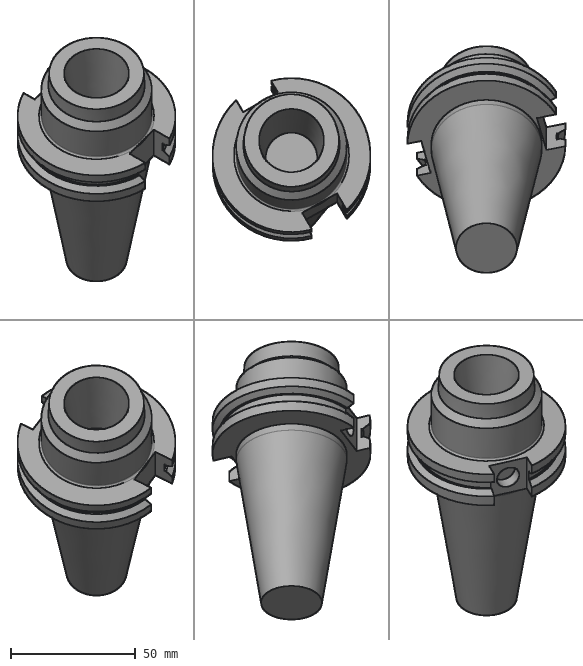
import cadquery as cq
import math

TOTAL_HEIGHT = 113.2
TAPER_HEIGHT = 68.5
FLANGE_BOTTOM = 71.5
FLANGE_TOP = 87.3
BODY_TOP = 103.3
NOSE_BOTTOM = 106.0

TAPER_END_RADIUS = 12.2
SHANK_RADIUS = 22.2
FLANGE_DIAMETER = 63.4
FLANGE_RADIUS = FLANGE_DIAMETER / 2
BODY_FILLET = 0.9
NOSE_BOTTOM_RADIUS = 19.4
NOSE_TOP_RADIUS = 19.0

GROOVE_RADIUS = 28.2
GROOVE_LEDGE = 0.8
GROOVE_CENTER = 79.6
GROOVE_FLOOR_WIDTH = 3.9
GROOVE_MOUTH_WIDTH = 7.1

BORE_TOP_RADIUS = 13.0
BORE_BOTTOM_RADIUS = 10.3
BORE_DEPTH = 30.6

SLOT_WIDTH = 16.1
LEFT_SLOT_FLOOR = 25.0
RIGHT_SLOT_FLOOR = 22.8

SIDE_HOLE_RADIUS = 4.8
SIDE_HOLE_DEPTH = 5.0


def turned_body():
    floor_half = GROOVE_FLOOR_WIDTH / 2
    mouth_half = GROOVE_MOUTH_WIDTH / 2
    ledge_radius = GROOVE_RADIUS + GROOVE_LEDGE
    fillet_center = (SHANK_RADIUS + BODY_FILLET, FLANGE_TOP + BODY_FILLET)
    fillet_reach = BODY_FILLET * math.sqrt(0.5)
    fillet_middle = (fillet_center[0] - fillet_reach, fillet_center[1] - fillet_reach)
    below_fillet = [
        (TAPER_END_RADIUS, 0),
        (SHANK_RADIUS, TAPER_HEIGHT),
        (SHANK_RADIUS, FLANGE_BOTTOM),
        (FLANGE_RADIUS, FLANGE_BOTTOM),
        (FLANGE_RADIUS, GROOVE_CENTER - mouth_half),
        (ledge_radius, GROOVE_CENTER - floor_half),
        (GROOVE_RADIUS, GROOVE_CENTER - floor_half),
        (GROOVE_RADIUS, GROOVE_CENTER + floor_half),
        (ledge_radius, GROOVE_CENTER + floor_half),
        (FLANGE_RADIUS, GROOVE_CENTER + mouth_half),
        (FLANGE_RADIUS, FLANGE_TOP),
        (fillet_center[0], FLANGE_TOP),
    ]
    above_fillet = [
        (SHANK_RADIUS, BODY_TOP),
        (NOSE_BOTTOM_RADIUS, NOSE_BOTTOM),
        (NOSE_TOP_RADIUS, TOTAL_HEIGHT),
        (0, TOTAL_HEIGHT),
    ]
    return (
        cq.Workplane("XZ")
        .polyline([(0, 0)] + below_fillet)
        .threePointArc(fillet_middle, (SHANK_RADIUS, fillet_center[1]))
        .polyline(above_fillet, includeCurrent=True)
        .close()
        .revolve(360, (0, 0), (0, 1))
    )


def tapered_bore():
    profile = [
        (0, TOTAL_HEIGHT - BORE_DEPTH),
        (BORE_BOTTOM_RADIUS, TOTAL_HEIGHT - BORE_DEPTH),
        (BORE_TOP_RADIUS, TOTAL_HEIGHT),
        (0, TOTAL_HEIGHT),
    ]
    return cq.Workplane("XZ").polyline(profile).close().revolve(360, (0, 0), (0, 1))


def drive_slot(side, floor):
    """Slot cutter on the -X (side = -1) or +X (side = 1) edge of the flange."""
    length = FLANGE_RADIUS - floor
    height = FLANGE_TOP - FLANGE_BOTTOM
    center = (side * (floor + length / 2), 0, FLANGE_BOTTOM + height / 2)
    return cq.Workplane("XY").box(length, SLOT_WIDTH, height).translate(center)


def side_hole():
    hole_height = (FLANGE_BOTTOM + FLANGE_TOP) / 2
    return (
        cq.Workplane("YZ", origin=(-LEFT_SLOT_FLOOR, 0, hole_height))
        .circle(SIDE_HOLE_RADIUS)
        .extrude(SIDE_HOLE_DEPTH)
    )


result = (
    turned_body()
    .cut(tapered_bore())
    .cut(drive_slot(-1, LEFT_SLOT_FLOOR))
    .cut(drive_slot(1, RIGHT_SLOT_FLOOR))
    .cut(side_hole())
)